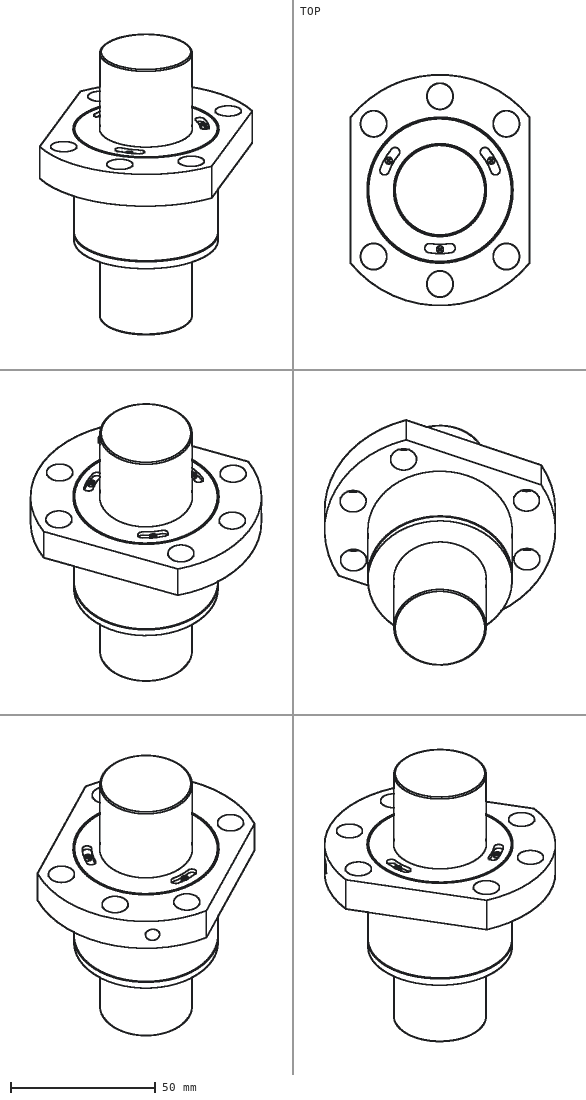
import cadquery as cq
import math

SHAFT_DIAMETER = 32
SHAFT_LENGTH = 100
SHAFT_CHAMFER = 0.5

BODY_DIAMETER = 50
BODY_LENGTH = 42
BODY_BOTTOM = -BODY_LENGTH / 2
BODY_TOP = BODY_LENGTH / 2

FLANGE_DIAMETER = 80
FLANGE_WIDTH = 62
FLANGE_THICKNESS = 12
FLANGE_MIDDLE = BODY_TOP - FLANGE_THICKNESS / 2

BOLT_HOLE_DIAMETER = 9
BOLT_CIRCLE_RADIUS = 32.5
BOLT_ANGLES = (45, 90, 135, 225, 270, 315)

OIL_HOLE_DIAMETER = 4.9
OIL_HOLE_DEPTH = 15
OIL_HOLE_ANGLE = (BOLT_ANGLES[1] + BOLT_ANGLES[2]) / 2

WIPER_THICKNESS = 2.8
WIPER_BORE = 32.2
SIDE_SEAM_CHAMFER = 0.2
TOP_SEAM_CHAMFER = 0.3

SLOT_RADIUS = 20.4
SLOT_WIDTH = 3.2
SLOT_LENGTH = 10.5
SLOT_DEPTH = 1.5
SLOT_ANGLES = (30, 150, 270)
SCREW_CIRCLE_RADIUS = 20.5
SCREW_DIAMETER = 2.4
SCREW_HEIGHT = 1
CROSS_WIDTH = 0.25
CROSS_DEPTH = 0.5
CROSS_ANGLES = (45, 135)


def cylinder(diameter, bottom, height):
    return cq.Workplane("XY").workplane(offset=bottom).circle(diameter / 2).extrude(height)


def ring(outer_diameter, inner_diameter, bottom, height):
    return cylinder(outer_diameter, bottom, height).cut(cylinder(inner_diameter, bottom, height))


def revolve_profile(points):
    """Turn a closed (radius, height) outline about the shaft axis."""
    return cq.Workplane("XZ").polyline(points).close().revolve(360, (0, 0, 0), (0, 1, 0))


def make_shaft():
    shaft = cylinder(SHAFT_DIAMETER, -SHAFT_LENGTH / 2, SHAFT_LENGTH)
    return shaft.faces("<Z or >Z").edges().chamfer(SHAFT_CHAMFER)


def make_flange():
    bottom = BODY_TOP - FLANGE_THICKNESS
    flats = cq.Workplane("XY").box(FLANGE_WIDTH, FLANGE_DIAMETER, BODY_LENGTH)
    return cylinder(FLANGE_DIAMETER, bottom, FLANGE_THICKNESS).intersect(flats)


def make_bolt_holes():
    holes = cq.Workplane("XY")
    for angle in BOLT_ANGLES:
        hole = cylinder(BOLT_HOLE_DIAMETER, BODY_TOP - FLANGE_THICKNESS, FLANGE_THICKNESS)
        holes = holes.add(hole.translate((BOLT_CIRCLE_RADIUS, 0, 0)).rotate((0, 0, 0), (0, 0, 1), angle))
    return holes.combine()


def make_oil_hole():
    hole = (
        cq.Workplane("YZ")
        .workplane(offset=FLANGE_DIAMETER / 2 - OIL_HOLE_DEPTH)
        .center(0, FLANGE_MIDDLE)
        .circle(OIL_HOLE_DIAMETER / 2)
        .extrude(OIL_HOLE_DEPTH)
    )
    return hole.rotate((0, 0, 0), (0, 0, 1), OIL_HOLE_ANGLE)


def make_seams():
    """V-grooves, made by two facing chamfers, that set the wiper rings off from the body."""
    edge = BODY_DIAMETER / 2
    joint = BODY_BOTTOM + WIPER_THICKNESS
    side_profile = [
        (edge - SIDE_SEAM_CHAMFER, joint),
        (edge, joint - SIDE_SEAM_CHAMFER),
        (edge, joint + SIDE_SEAM_CHAMFER),
    ]
    top_profile = [
        (edge, BODY_TOP - TOP_SEAM_CHAMFER),
        (edge - TOP_SEAM_CHAMFER, BODY_TOP),
        (edge + TOP_SEAM_CHAMFER, BODY_TOP),
    ]
    return revolve_profile(side_profile).union(revolve_profile(top_profile))


def make_wiper_gaps():
    """Running clearance between the shaft and the wiper rings."""
    bottom_gap = ring(WIPER_BORE, SHAFT_DIAMETER, BODY_BOTTOM, WIPER_THICKNESS)
    top_gap = ring(WIPER_BORE, SHAFT_DIAMETER, BODY_TOP - WIPER_THICKNESS, WIPER_THICKNESS)
    return bottom_gap.union(top_gap)


def make_slot(angle):
    """Curved, round-ended slot about the shaft axis, centred on the given angle."""
    end_radius = SLOT_WIDTH / 2
    half_sweep = math.asin((SLOT_LENGTH / 2 - end_radius) / SLOT_RADIUS)

    def point(radius, sweep):
        return (radius * math.cos(sweep), radius * math.sin(sweep))

    inner = SLOT_RADIUS - end_radius
    outer = SLOT_RADIUS + end_radius
    cap_sweep = half_sweep + end_radius / SLOT_RADIUS
    slot = (
        cq.Workplane("XY")
        .workplane(offset=BODY_TOP - SLOT_DEPTH)
        .moveTo(*point(outer, -half_sweep))
        .threePointArc(point(outer, 0), point(outer, half_sweep))
        .threePointArc(point(SLOT_RADIUS, cap_sweep), point(inner, half_sweep))
        .threePointArc(point(inner, 0), point(inner, -half_sweep))
        .threePointArc(point(SLOT_RADIUS, -cap_sweep), point(outer, -half_sweep))
        .close()
        .extrude(SLOT_DEPTH)
    )
    return slot.rotate((0, 0, 0), (0, 0, 1), angle)


def make_screw(angle):
    """Round screw head standing on the slot floor, with a cross recess."""
    floor = BODY_TOP - SLOT_DEPTH
    screw = cylinder(SCREW_DIAMETER, floor, SCREW_HEIGHT)
    for cross_angle in CROSS_ANGLES:
        groove = (
            cq.Workplane("XY")
            .workplane(offset=floor + SCREW_HEIGHT - CROSS_DEPTH)
            .transformed(rotate=(0, 0, cross_angle))
            .rect(SCREW_DIAMETER, CROSS_WIDTH)
            .extrude(CROSS_DEPTH)
        )
        screw = screw.cut(groove)
    turn = math.radians(angle)
    x = SCREW_CIRCLE_RADIUS * math.cos(turn)
    y = SCREW_CIRCLE_RADIUS * math.sin(turn)
    return screw.translate((x, y, 0))


nut = cylinder(BODY_DIAMETER, BODY_BOTTOM, BODY_LENGTH).union(make_flange())
result = nut.union(make_shaft())
result = result.cut(make_bolt_holes()).cut(make_oil_hole())
result = result.cut(make_seams()).cut(make_wiper_gaps())
for slot_angle in SLOT_ANGLES:
    result = result.cut(make_slot(slot_angle)).union(make_screw(slot_angle))